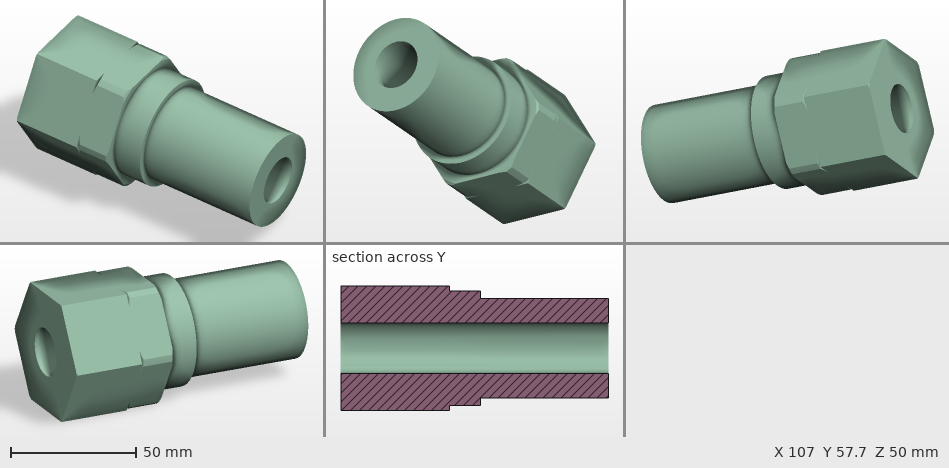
import cadquery as cq
import math

total_length = 107.0
full_hex_length = 29.0
hex_length = 43.4
collar_end = 56.0

across_flats = 50.0
across_corners = across_flats / math.cos(math.radians(30))
corner_radius = across_corners / 2
collar_diameter = 46.0
tube_diameter = 40.0
bore_diameter = 20.0

face_chamfer_depth = 0.5
face_chamfer_length = 0.3
turned_radius = 28.0
groove_radius = 26.4
groove_length = 1.0
end_chamfer_depth = 1.1
end_chamfer_length = 0.6


def cylinder(diameter, length):
    """Cylinder along +X starting at the free face."""
    return cq.Workplane("YZ").circle(diameter / 2).extrude(length)


def turned_envelope():
    """Revolved shape that trims the corners of the hexagon."""
    profile = (
        cq.Workplane("XY")
        .moveTo(0, 0)
        .lineTo(0, corner_radius - face_chamfer_depth)
        .lineTo(face_chamfer_length, corner_radius)
        .lineTo(full_hex_length, corner_radius)
        .lineTo(full_hex_length, groove_radius)
        .lineTo(full_hex_length + groove_length, turned_radius)
        .lineTo(hex_length - end_chamfer_length, turned_radius)
        .lineTo(hex_length, turned_radius - end_chamfer_depth)
        .lineTo(hex_length, 0)
        .close()
    )
    return profile.revolve(360, (0, 0, 0), (1, 0, 0))


hexagon = cq.Workplane("YZ").polygon(6, across_corners).extrude(hex_length)
hexagon = hexagon.intersect(turned_envelope())

body = hexagon.union(cylinder(collar_diameter, collar_end))
body = body.union(cylinder(tube_diameter, total_length))
result = body.cut(cylinder(bore_diameter, total_length))